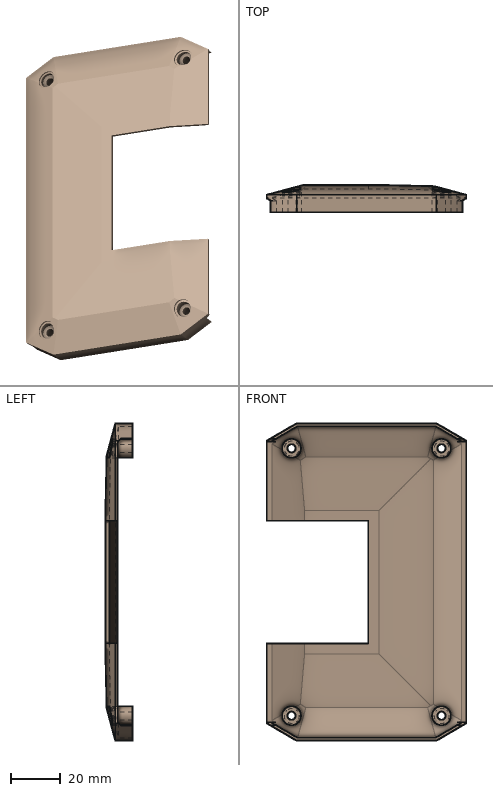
import cadquery as cq
import math

width = 80.0
length = 127.0
depth = 11.0

corner_run = 12.0
corner_rise = 7.0

eave_y = 7.0
steep_angle = 15.0
shallow_drop = 0.5
shallow_end_y = depth - shallow_drop
steep_run = (shallow_end_y - eave_y) / math.tan(math.radians(steep_angle))

roof_thickness = 1.5
wall_thickness = 1.2

window_right_x = 0.7
window_half_length = 24.5
flat_band = 4.3

lip_y = 6.0
side_cut_half_length = 57.4
side_cut_chamfer = 1.3

boss_diameter = 7.6
boss_hole_diameter = 3.2
boss_edge_distance = 10.0

ring_diameter = 7.5
ring_depth = roof_thickness / 2
counterbore_diameter = 6.0
counterbore_floor_y = 6.0

half_width = width / 2
half_length = length / 2


def facing_roof(y):
    """Workplane at height y whose extrusions go towards +Y."""
    return cq.Workplane(cq.Plane(origin=(0, y, 0), xDir=(1, 0, 0), normal=(0, 1, 0)))


def octagon(y):
    x_outer = half_width
    x_inner = half_width - corner_run
    z_outer = half_length
    z_inner = half_length - corner_rise
    return facing_roof(y).polyline([
        (x_inner, z_outer),
        (x_outer, z_inner),
        (x_outer, -z_inner),
        (x_inner, -z_outer),
        (-x_inner, -z_outer),
        (-x_outer, -z_inner),
        (-x_outer, z_inner),
        (-x_inner, z_outer),
    ]).close()


def steep_block(offset):
    """Octagonal block with steep roof bands, its roof moved inwards by offset."""
    start_y = eave_y - offset / math.cos(math.radians(steep_angle))
    walls = octagon(0).extrude(start_y)
    roof = octagon(start_y).extrude(depth - start_y, taper=90 - steep_angle)
    return walls.union(roof)


def shallow_slopes(offset):
    """Block under the flat and the shallow slopes towards +X, +Z and -Z."""
    slope = shallow_drop / (half_width - steep_run - window_right_x - flat_band)
    flat_y = depth - offset
    flat_x = window_right_x + flat_band
    flat_z = window_half_length + flat_band
    x_edge_y = flat_y - slope * (half_width - flat_x)
    z_edge_y = flat_y - slope * (half_length - flat_z)
    across = cq.Workplane("XY").polyline([
        (-half_width, 0),
        (half_width, 0),
        (half_width, x_edge_y),
        (flat_x, flat_y),
        (-half_width, flat_y),
    ]).close().extrude(half_length, both=True)
    along = cq.Workplane("YZ").polyline([
        (0, -half_length),
        (z_edge_y, -half_length),
        (flat_y, -flat_z),
        (flat_y, flat_z),
        (z_edge_y, half_length),
        (0, half_length),
    ]).close().extrude(half_width, both=True)
    return across.intersect(along)


def roofed_block(offset):
    return steep_block(offset).intersect(shallow_slopes(offset))


def cavity():
    inside_walls = octagon(0).offset2D(-wall_thickness).extrude(depth)
    return roofed_block(roof_thickness).intersect(inside_walls)


def side_cut():
    full = side_cut_half_length
    narrow = full - side_cut_chamfer
    chamfer_y = lip_y - side_cut_chamfer
    return cq.Workplane("YZ").polyline([
        (0, -full),
        (chamfer_y, -full),
        (lip_y, -narrow),
        (lip_y, narrow),
        (chamfer_y, full),
        (0, full),
    ]).close().extrude(half_width, both=True)


def window():
    window_width = half_width + window_right_x
    center_x = window_right_x - window_width / 2
    return (
        facing_roof(0)
        .center(center_x, 0)
        .rect(window_width, 2 * window_half_length)
        .extrude(depth)
    )


def boss_cylinders(diameter, start_y=0):
    """Cylinders on the four screw axes, from start_y up to the top of the roof."""
    x_spacing = width - 2 * boss_edge_distance
    z_spacing = length - 2 * boss_edge_distance
    return (
        facing_roof(start_y)
        .rarray(x_spacing, z_spacing, 2, 2)
        .circle(diameter / 2)
        .extrude(depth - start_y)
    )


def screw_recesses():
    rings = boss_cylinders(ring_diameter).cut(roofed_block(ring_depth))
    counterbores = boss_cylinders(counterbore_diameter, counterbore_floor_y)
    return rings.union(counterbores)


outer_block = roofed_block(0)
cover = outer_block.cut(cavity()).cut(side_cut()).cut(window())
bosses = boss_cylinders(boss_diameter).intersect(outer_block)
screw_holes = boss_cylinders(boss_hole_diameter)
result = cover.union(bosses).cut(screw_recesses()).cut(screw_holes)